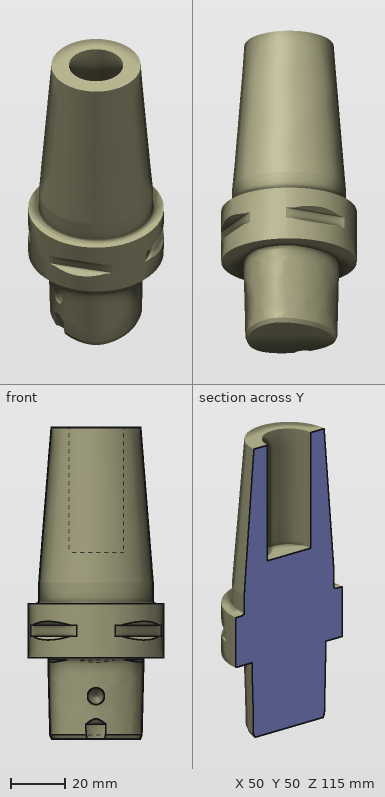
import cadquery as cq
import math

TOTAL_HEIGHT = 115.0
FLANGE_BOTTOM = 30.0
FLANGE_HEIGHT = 20.0
FLANGE_TOP = FLANGE_BOTTOM + FLANGE_HEIGHT
NOSE_TAPER_START = 57.8

FLANGE_RADIUS = 25.01
NOSE_BASE_RADIUS = 21.0
NOSE_TIP_RADIUS = 16.5
NOSE_FILLET = 1.0
BORE_DIAMETER = 20.0
BORE_DEPTH = 46.0

LOBES = 3
LOBE_ANGLE = math.radians(90)
SHANK_RADIUS = 17.6
LOBE_HEIGHT = 1.0
TAPER_PER_SIDE = 1 / 40
TAPER_TOP = 26.8
TIP_CHAMFER_HEIGHT = 1.6
TIP_CHAMFER_WIDTH = 0.7
OUTLINE_POINTS = 48

RELIEF_RADIUS = 17.7
RELIEF_STRAIGHT = 0.7
RELIEF_CONE_HEIGHT = 1.2

SLOT_COUNT = 4
SLOT_FIRST_ANGLE = 45
SLOT_HEIGHT = (FLANGE_TOP + FLANGE_BOTTOM) / 2
SLOT_FLOOR_DISTANCE = 22.0
SLOT_WALL_DEPTH = 1.2
SLOT_FLOOR_WIDTH = 4.1
SLOT_MOUTH_WIDTH = 6.9

DRILL_HALF_ANGLE = math.radians(59)
SIDE_HOLE_RADIUS = 3.1
SIDE_HOLE_HEIGHT = 15.9
SIDE_HOLE_DEPTH = 4.0
NOTCH_RADIUS = 4.5
NOTCH_WALL_HEIGHT = 5.5
NOTCH_TIP_HEIGHT = 3.9
NOTCH_AXIS_Y = -18.3


def lobed_point(angle, radius):
    """Point on the constant-width curve whose tangent lies at the given normal angle."""
    phase = LOBES * (angle - LOBE_ANGLE)
    support = radius + LOBE_HEIGHT * math.cos(phase)
    slope = -LOBES * LOBE_HEIGHT * math.sin(phase)
    x = support * math.cos(angle) - slope * math.sin(angle)
    y = support * math.sin(angle) + slope * math.cos(angle)
    return x, y


def lobed_wire(height, radius):
    points = []
    for i in range(OUTLINE_POINTS):
        angle = -math.pi / 2 + 2 * math.pi * i / OUTLINE_POINTS
        x, y = lobed_point(angle, radius)
        points.append(cq.Vector(x, y, height))
    return cq.Wire.assembleEdges([cq.Edge.makeSpline(points, periodic=True)])


def lobed_section(bottom, bottom_radius, top, top_radius):
    wires = [lobed_wire(bottom, bottom_radius), lobed_wire(top, top_radius)]
    return cq.Workplane(cq.Solid.makeLoft(wires, True))


def make_shank():
    taper_bottom_radius = SHANK_RADIUS - TAPER_PER_SIDE * (TAPER_TOP - TIP_CHAMFER_HEIGHT)
    tip_radius = taper_bottom_radius - TIP_CHAMFER_WIDTH
    tip = lobed_section(0, tip_radius, TIP_CHAMFER_HEIGHT, taper_bottom_radius)
    taper = lobed_section(TIP_CHAMFER_HEIGHT, taper_bottom_radius, TAPER_TOP, SHANK_RADIUS)
    collar = lobed_section(TAPER_TOP, SHANK_RADIUS, FLANGE_BOTTOM, SHANK_RADIUS)
    return tip.union(taper).union(collar.intersect(make_relief_limit()))


def make_relief_limit():
    """Round body that limits the collar just under the flange."""
    cone_top = FLANGE_BOTTOM - RELIEF_STRAIGHT
    cone_bottom = cone_top - RELIEF_CONE_HEIGHT
    outer_radius = RELIEF_RADIUS + RELIEF_CONE_HEIGHT
    return (
        cq.Workplane("XZ")
        .moveTo(0, TAPER_TOP)
        .lineTo(outer_radius, TAPER_TOP)
        .lineTo(outer_radius, cone_bottom)
        .lineTo(RELIEF_RADIUS, cone_top)
        .lineTo(RELIEF_RADIUS, FLANGE_BOTTOM)
        .lineTo(0, FLANGE_BOTTOM)
        .close()
        .revolve(360, (0, 0, 0), (0, 1, 0))
    )


def make_flange_and_nose():
    fillet_middle = NOSE_FILLET * (1 - math.sqrt(0.5))
    return (
        cq.Workplane("XZ")
        .moveTo(0, FLANGE_BOTTOM)
        .lineTo(FLANGE_RADIUS, FLANGE_BOTTOM)
        .lineTo(FLANGE_RADIUS, FLANGE_TOP)
        .lineTo(NOSE_BASE_RADIUS + NOSE_FILLET, FLANGE_TOP)
        .threePointArc(
            (NOSE_BASE_RADIUS + fillet_middle, FLANGE_TOP + fillet_middle),
            (NOSE_BASE_RADIUS, FLANGE_TOP + NOSE_FILLET),
        )
        .lineTo(NOSE_BASE_RADIUS, NOSE_TAPER_START)
        .lineTo(NOSE_TIP_RADIUS, TOTAL_HEIGHT)
        .lineTo(0, TOTAL_HEIGHT)
        .close()
        .revolve(360, (0, 0, 0), (0, 1, 0))
    )


def make_slot():
    """Straight slot with a flared mouth, whose floor faces +X."""
    wall_end = SLOT_FLOOR_DISTANCE + SLOT_WALL_DEPTH
    half_floor = SLOT_FLOOR_WIDTH / 2
    half_mouth = SLOT_MOUTH_WIDTH / 2
    return (
        cq.Workplane("XZ")
        .moveTo(SLOT_FLOOR_DISTANCE, SLOT_HEIGHT - half_floor)
        .lineTo(wall_end, SLOT_HEIGHT - half_floor)
        .lineTo(FLANGE_RADIUS, SLOT_HEIGHT - half_mouth)
        .lineTo(FLANGE_RADIUS, SLOT_HEIGHT + half_mouth)
        .lineTo(wall_end, SLOT_HEIGHT + half_floor)
        .lineTo(SLOT_FLOOR_DISTANCE, SLOT_HEIGHT + half_floor)
        .close()
        .extrude(FLANGE_RADIUS, both=True)
    )


def make_drill(radius, length, tip_height, start, direction):
    """Straight drill of the given length ending in a cone."""
    end = start + direction * length
    body = cq.Solid.makeCylinder(radius, length, start, direction)
    tip = cq.Solid.makeCone(radius, 0, tip_height, end, direction)
    return cq.Workplane(body).union(cq.Workplane(tip))


def make_side_hole():
    tip_height = SIDE_HOLE_RADIUS / math.tan(DRILL_HALF_ANGLE)
    flat_distance = SHANK_RADIUS - LOBE_HEIGHT
    start = cq.Vector(0, -FLANGE_RADIUS, SIDE_HOLE_HEIGHT)
    length = FLANGE_RADIUS - flat_distance + SIDE_HOLE_DEPTH
    return make_drill(SIDE_HOLE_RADIUS, length, tip_height, start, cq.Vector(0, 1, 0))


def make_notch():
    start = cq.Vector(0, NOTCH_AXIS_Y, 0)
    return make_drill(NOTCH_RADIUS, NOTCH_WALL_HEIGHT, NOTCH_TIP_HEIGHT, start, cq.Vector(0, 0, 1))


result = make_flange_and_nose().union(make_shank())
result = result.faces(">Z").workplane().hole(BORE_DIAMETER, BORE_DEPTH)

for i in range(SLOT_COUNT):
    slot_angle = SLOT_FIRST_ANGLE + i * 360 / SLOT_COUNT
    result = result.cut(make_slot().rotate((0, 0, 0), (0, 0, 1), slot_angle))

result = result.cut(make_side_hole()).cut(make_notch())